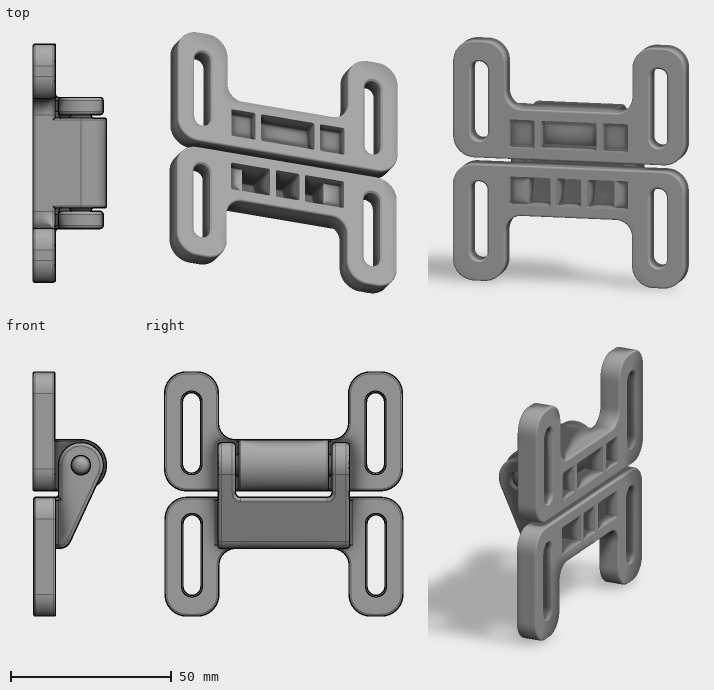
import cadquery as cq
import math

overall_depth = 22.9
overall_height = 76.0
leaf_width = 74.0
leaf_height = 37.0
leaf_thickness = 6.85
upper_shift_y = -0.1
lower_shift_y = 0.1
lower_shift_x = 0.2
upper_base_z = overall_height - leaf_height

leg_width = 16.8
leg_corner_radius = 6.8
bridge_height = 15.95
notch_radius = 5.2
plate_edge_radius = 0.6
slot_width = 5.5
slot_length = 24.9
slot_chamfer = 0.5
slot_center_z = 18.0
leg_center_y = (leaf_width - leg_width) / 2

pocket_height = 9.05
pocket_center_z = 8.05
pocket_depth = 4.1
pocket_fillet = 0.5
pocket_corner_radius = 0.5
pocket_outer_y = 19.0

knuckle_radius = bridge_height / 2
knuckle_length = 28.0
knuckle_edge_radius = 0.6
knuckle_cove_radius = 0.6
axis_x = overall_depth - knuckle_radius
axis_z = upper_base_z + knuckle_radius
barrel_pocket_radius = 9.2
barrel_pocket_half_width = 9.0
side_pocket_width = 8.1

arm_radius = 7.0
arm_outer_y = 20.45
arm_inner_y = 15.0
arm_edge_radius = 1.1
arm_root_radius = 1.5
arm_root_cove = 0.8
step_margin = 0.1
arm_slope = 24.8
block_corner_radius = 3.8
block_wall = 2.0
block_cove_radius = 0.9
block_pocket_outer_y = 13.75
block_pocket_inner_y = 5.85
center_pocket_half_width = 3.95

pin_radius = 3.05
pin_flare_radius = 3.65
pin_seat_depth = 6.1


def box(x_range, y_range, z_range):
    """Block spanning the given (start, end) ranges."""
    spans = [end - start for start, end in (x_range, y_range, z_range)]
    corner = (x_range[0], y_range[0], z_range[0])
    return cq.Workplane("XY").box(*spans, centered=False).translate(corner)


def mirrored(shape):
    """The shape together with its mirror image across the XZ plane."""
    return [shape, shape.mirror("XZ")]


def slot_cutter():
    """Upright slot through the plate, widened by a chamfer at both faces."""
    rim_length = slot_length + 2 * slot_chamfer
    rim_width = slot_width + 2 * slot_chamfer
    cutter = cq.Workplane("YZ").slot2D(slot_length, slot_width, 90).extrude(leaf_thickness)
    rim = (
        cq.Workplane("YZ")
        .slot2D(rim_length, rim_width, 90)
        .extrude(slot_chamfer, taper=45)
    )
    opposite_rim = rim.mirror("YZ").translate((leaf_thickness, 0, 0))
    return cutter.union(rim).union(opposite_rim)


def leaf_plate():
    """H-legged plate with its hinge edge on Z = 0 and its legs pointing up."""
    leg = box(
        (0, leaf_thickness),
        (leg_center_y - leg_width / 2, leg_center_y + leg_width / 2),
        (0, leaf_height),
    ).edges("|X").fillet(leg_corner_radius)
    plate = box((0, leaf_thickness), (-leg_center_y, leg_center_y), (0, bridge_height))
    for side in mirrored(leg):
        plate = plate.union(side)
    notch_y = leg_center_y - leg_width / 2
    for y in (-notch_y, notch_y):
        corner = cq.NearestToPointSelector((leaf_thickness / 2, y, bridge_height))
        plate = plate.edges(corner).fillet(notch_radius)
    plate = plate.faces("<X or >X").edges().fillet(plate_edge_radius)
    for y in (-leg_center_y, leg_center_y):
        plate = plate.cut(slot_cutter().translate((0, y, slot_center_z)))
    return plate


def pocket(y_start, y_end, depth):
    """Rectangular pocket cutter reaching in from X = 0, on a plate whose hinge edge is Z = 0."""
    z_range = (pocket_center_z - pocket_height / 2, pocket_center_z + pocket_height / 2)
    return box((0, depth), (y_start, y_end), z_range).edges("|X").fillet(pocket_corner_radius)


def cove(radius, face_y, z_range):
    """Concave strip between the plate back at X = leaf_thickness and a side wall facing +Y at face_y."""
    strip = box((leaf_thickness, leaf_thickness + radius), (face_y, face_y + radius), z_range)
    rounding = (
        cq.Workplane("XY", origin=(leaf_thickness + radius, face_y + radius, z_range[0]))
        .circle(radius)
        .extrude(z_range[1] - z_range[0])
    )
    return strip.cut(rounding)


def axis_cylinder(radius, half_length):
    """Cylinder around the hinge axis, centred on Y = 0."""
    return (
        cq.Workplane("XZ", origin=(axis_x, half_length, axis_z))
        .circle(radius)
        .extrude(2 * half_length)
    )


def pin_bores():
    """Cutters for the two pin bores, from the blind seats in the knuckle out through the arms."""
    inner_y = knuckle_length / 2 - pin_seat_depth
    bore = (
        cq.Workplane("XZ", origin=(axis_x, arm_outer_y, axis_z))
        .circle(pin_radius)
        .extrude(arm_outer_y - inner_y)
    )
    return mirrored(bore)


def make_upper_leaf():
    """Leaf that carries the central knuckle."""
    plate = leaf_plate().translate((0, upper_shift_y, upper_base_z))
    knuckle = box(
        (leaf_thickness / 2, axis_x),
        (-knuckle_length / 2, knuckle_length / 2),
        (upper_base_z, upper_base_z + bridge_height),
    )
    knuckle = knuckle.union(axis_cylinder(knuckle_radius, knuckle_length / 2))
    knuckle = knuckle.faces("<Y or >Y").edges("not <X").fillet(knuckle_edge_radius)
    leaf = plate.union(knuckle)
    cove_z = (upper_base_z + knuckle_edge_radius, upper_base_z + bridge_height - knuckle_edge_radius)
    for strip in mirrored(cove(knuckle_cove_radius, knuckle_length / 2, cove_z)):
        leaf = leaf.union(strip)

    side_pocket = pocket(pocket_outer_y - side_pocket_width, pocket_outer_y, pocket_depth)
    side_pocket = side_pocket.faces(">X").edges().fillet(pocket_fillet)
    for cutter in mirrored(side_pocket.translate((0, 0, upper_base_z))):
        leaf = leaf.cut(cutter)

    barrel_pocket = pocket(-barrel_pocket_half_width, barrel_pocket_half_width, axis_x)
    barrel_pocket = barrel_pocket.translate((0, 0, upper_base_z))
    barrel_pocket = barrel_pocket.cut(axis_cylinder(barrel_pocket_radius, knuckle_length / 2))
    barrel_pocket = barrel_pocket.faces(">X").edges().fillet(pocket_fillet)
    leaf = leaf.cut(barrel_pocket)
    for bore in pin_bores():
        leaf = leaf.cut(bore)
    return leaf


slope = math.radians(arm_slope)
slope_normal = (math.cos(slope), -math.sin(slope))


def slope_x(z, inset=0):
    """X of the sloping back face at height z, moved inwards by the inset."""
    reach = arm_radius - inset - slope_normal[1] * (z - axis_z)
    return axis_x + reach / slope_normal[0]


def arm_block():
    """Block under the knuckle with the two arms that rise on either side of it."""
    block_bottom = leaf_height - bridge_height
    arm_left = axis_x - arm_radius
    root_x = lower_shift_x + leaf_thickness / 2
    step_z = leaf_height - arm_edge_radius - step_margin
    tangent_x = axis_x + arm_radius * slope_normal[0]
    tangent_z = axis_z + arm_radius * slope_normal[1]
    block = (
        cq.Workplane("XZ", origin=(0, arm_outer_y, 0))
        .moveTo(root_x, block_bottom)
        .lineTo(slope_x(block_bottom), block_bottom)
        .lineTo(tangent_x, tangent_z)
        .threePointArc((axis_x, axis_z + arm_radius), (arm_left, axis_z))
        .lineTo(arm_left, step_z)
        .lineTo(root_x, step_z)
        .close()
        .extrude(2 * arm_outer_y)
    )
    lower_corner = cq.NearestToPointSelector((slope_x(block_bottom), 0, block_bottom))
    block = block.edges(lower_corner).fillet(block_corner_radius)
    gap = box((0, 2 * axis_x), (-arm_inner_y, arm_inner_y), (leaf_height, overall_height))
    gap = gap.faces("<Z").edges("|X").fillet(arm_root_radius)
    block = block.cut(gap)
    block = block.faces("<Y or >Y").edges("not <X").fillet(arm_edge_radius)
    gap_rim = cq.NearestToPointSelector((slope_x(leaf_height), 0, leaf_height))
    block = block.edges(gap_rim).fillet(arm_edge_radius)

    web = box(
        (root_x, arm_left + arm_edge_radius),
        (-arm_outer_y, arm_outer_y),
        (step_z - arm_edge_radius, leaf_height),
    )
    web = web.faces(">Z").edges("|X").fillet(arm_edge_radius)
    block = block.union(web)

    root_cove = box(
        (arm_left - arm_root_cove, arm_left + arm_edge_radius),
        (arm_inner_y + arm_edge_radius, arm_outer_y - arm_edge_radius),
        (leaf_height - arm_root_cove, leaf_height + arm_root_cove),
    )
    root_cove = root_cove.cut(
        cq.Workplane("XZ", origin=(arm_left - arm_root_cove, arm_outer_y, leaf_height + arm_root_cove))
        .circle(arm_root_cove)
        .extrude(arm_outer_y)
    )
    for strip in mirrored(root_cove):
        block = block.union(strip)
    return block


def sloped_pocket(y_start, y_end):
    """Deep pocket cutter whose floor runs parallel to the sloping back face of the block."""
    z_top = leaf_height - pocket_center_z + pocket_height / 2
    z_bottom = z_top - pocket_height
    cutter = (
        cq.Workplane("XZ", origin=(0, y_end, 0))
        .moveTo(0, z_bottom)
        .lineTo(slope_x(z_bottom, block_wall), z_bottom)
        .lineTo(slope_x(z_top, block_wall), z_top)
        .lineTo(0, z_top)
        .close()
        .extrude(y_end - y_start)
    )
    return cutter.edges("|X").fillet(pocket_corner_radius).faces(">X").edges().fillet(pocket_fillet)


def make_lower_leaf():
    """Leaf that carries the two arms."""
    plate = leaf_plate().mirror("XY").translate((lower_shift_x, lower_shift_y, leaf_height))
    leaf = plate.union(arm_block())
    cove_z = (leaf_height - bridge_height + arm_edge_radius, leaf_height - arm_edge_radius)
    for strip in mirrored(cove(block_cove_radius, arm_outer_y, cove_z)):
        leaf = leaf.union(strip.translate((lower_shift_x, 0, 0)))

    side_pocket = pocket(block_pocket_inner_y, pocket_outer_y, pocket_depth)
    deep_side_pocket = sloped_pocket(block_pocket_inner_y, block_pocket_outer_y)
    for shallow, deep in zip(mirrored(side_pocket), mirrored(deep_side_pocket)):
        leaf = leaf.cut(shallow.mirror("XY").translate((0, 0, leaf_height))).cut(deep)
    for bore in pin_bores():
        leaf = leaf.cut(bore)
    leaf = leaf.cut(sloped_pocket(-center_pocket_half_width, center_pocket_half_width))
    return leaf


def make_pins():
    """Two pins with hemispherical outer ends and a flared collar against the knuckle."""
    knuckle_face = knuckle_length / 2
    dome_base = arm_outer_y - pin_radius
    profile = (
        cq.Workplane("XY")
        .moveTo(0, knuckle_face - pin_seat_depth)
        .lineTo(pin_radius, knuckle_face - pin_seat_depth)
        .lineTo(pin_radius, knuckle_face)
        .lineTo(pin_flare_radius, knuckle_face)
        .lineTo(pin_radius, arm_inner_y)
        .lineTo(pin_radius, dome_base)
        .radiusArc((0, arm_outer_y), -pin_radius)
        .close()
    )
    pin = profile.revolve(360, (0, 0, 0), (0, 1, 0)).translate((axis_x, 0, axis_z))
    return mirrored(pin)


upper_leaf = make_upper_leaf()
lower_leaf = make_lower_leaf()
pins = make_pins()
result = cq.Compound.makeCompound([
    upper_leaf.val(),
    lower_leaf.val(),
    *[pin.val() for pin in pins],
])